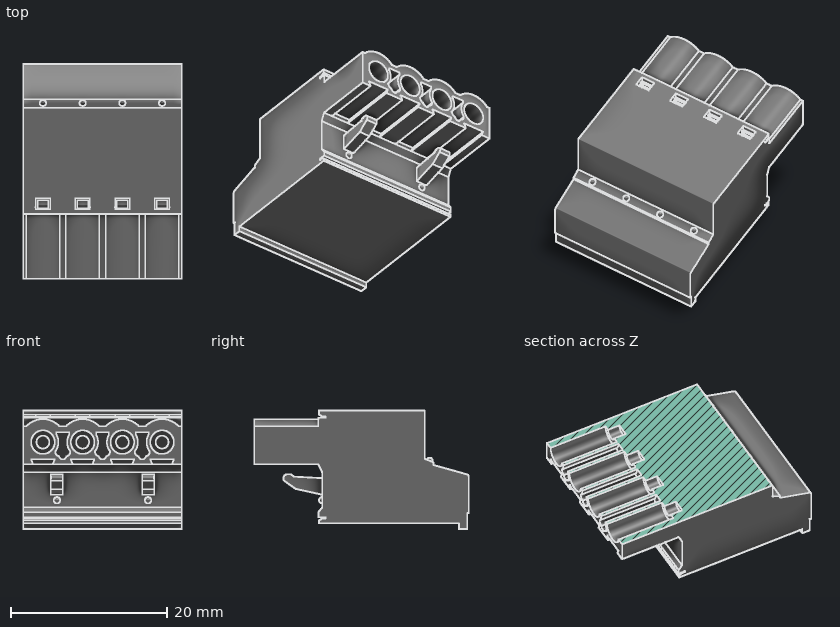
import cadquery as cq
import math

WIDTH = 20.32
LENGTH = 27.5
HEIGHT = 15.2

POLES = 4
PITCH = WIDTH / POLES
pole_xs = [(i - (POLES - 1) / 2) * PITCH for i in range(POLES)]
key_xs = [(a + b) / 2 for a, b in zip(pole_xs, pole_xs[1:])]

FACE_Y = 8.22
LIP_Y = 8.3
RECESS_Y = 8.72
GROOVE_END_Y = 9.15
GROOVE_GAP = 0.15
GROOVE_TOP_FLOOR_Z = 14.27
GROOVE_LOW_ROOF_Z = 1.5
LIP_RISE = 0.25
LIP_THICKNESS = 0.55
BOTTOM_Z = 0.75
RECESS_TOP_Z = 7.25
RECESS_LOW_Z = 2.8
RAIL_TOP_Z = 2.17
REAR_WALL_Y = 21.85
STEP_TOP_Z = 9.02
STEP_Y = 23.0
STEP_UPPER_Z = 8.52
STEP_LOWER_Z = 8.22
REAR_TOP_Z = 6.95
FOOT_TOP_Z = 2.05
FOOT_REAR_Y = 27.28
FOOT_FRONT_Y = 26.2
TOP_EDGE_ROUND = 0.15
REAR_EDGE_ROUND = 0.38

SHROUD_BOTTOM_Z = 8.3
SHROUD_TOP_Z = 13.15
PLUG_AXIS_Z = 11.15
BARREL_RADIUS = 2.95
BORE_RADIUS = 1.5
BORE_DEPTH = 7.98
PIN_HOLE_RADIUS = 0.82
PIN_HOLE_DEPTH = 9.62

KEY_WALL_RADIUS = 1.98
KEY_TOP_HALF = 0.82
KEY_TOP_Z = 12.43
KEY_CORNER_ROUND = 0.1
KEY_LOBE_TOP_HALF = 0.95
KEY_LOBE_MID = (0.85, 9.57)
KEY_LOBE_END = (0.47, 9.32)
KEY_TIP_Z = 8.95

NOTCH_TOP_HALF = 1.5
NOTCH_BOTTOM_HALF = 1.26
NOTCH_TOP_Z = 8.95

SOCKET_WIDTH = 1.85
SOCKET_FRONT_Y = 8.9
SOCKET_REAR_Y = 10.3
SOCKET_DEPTH = 1.02
WELL_WIDTH = 1.38
WELL_FRONT_Y = 9.02
WELL_FLAT_END_Y = 9.4
WELL_BEND_Y = 9.65
WELL_REAR_Y = 10.0
WELL_FLOOR_Z = 13.7
WELL_SLOPE = 14.0
WELL_STEEP_SLOPE = 30.0

HOOK_X = 5.83
HOOK_WIDTH = 1.55
HOOK_ROOT_TOP_Z = 6.55
HOOK_ROOT_BOTTOM_Z = 4.4
HOOK_NECK = (5.12, 6.75)
HOOK_CREST_REAR_Y = 4.73
HOOK_CREST_FRONT_Y = 4.3
HOOK_CREST_Z = 7.05
HOOK_NOSE = (3.82, 6.8)
HOOK_CHIN = (3.85, 6.2)
HOOK_HEEL = (5.34, 5.15)
DOME_RADIUS = 0.4
FRONT_DOME_Z = 3.7
REAR_DOME_Y = 22.47
REAR_DOME_Z = 8.75


def across(outline, width, x=0.0):
    """Prism of a (Y, Z) outline, centred on x."""
    return outline.close().extrude(width / 2, both=True).translate((x, 0, 0))


def side_outline(points):
    return cq.Workplane("YZ").polyline(points)


def along(outline, depth):
    """Prism of an (X, Z) outline, running back from the mating face."""
    return outline.close().extrude(-depth)


def cylinder_along(x, radius, depth):
    return cq.Workplane("XZ").center(x, PLUG_AXIS_Z).circle(radius).extrude(-depth)


def make_housing():
    top_flank_z = GROOVE_TOP_FLOOR_Z + GROOVE_GAP
    low_flank_z = GROOVE_LOW_ROOF_Z - GROOVE_GAP
    points = [
        (REAR_WALL_Y, HEIGHT),
        (LIP_Y, HEIGHT),
        (LIP_Y, HEIGHT - LIP_THICKNESS),
        (RECESS_Y, top_flank_z),
        (GROOVE_END_Y, top_flank_z),
        (GROOVE_END_Y, GROOVE_TOP_FLOOR_Z),
        (FACE_Y, GROOVE_TOP_FLOOR_Z),
        (FACE_Y, SHROUD_BOTTOM_Z),
        (RECESS_Y, RECESS_TOP_Z),
        (RECESS_Y, RECESS_LOW_Z),
        (FACE_Y, RAIL_TOP_Z),
        (FACE_Y, GROOVE_LOW_ROOF_Z),
        (GROOVE_END_Y, GROOVE_LOW_ROOF_Z),
        (GROOVE_END_Y, low_flank_z),
        (RECESS_Y, low_flank_z),
        (LIP_Y, low_flank_z - LIP_RISE),
        (LIP_Y, BOTTOM_Z),
        (FOOT_FRONT_Y, BOTTOM_Z),
        (FOOT_FRONT_Y, 0),
        (FOOT_REAR_Y, 0),
        (FOOT_REAR_Y, FOOT_TOP_Z),
        (LENGTH, FOOT_TOP_Z),
        (LENGTH, REAR_TOP_Z),
        (STEP_Y, STEP_LOWER_Z),
        (STEP_Y, STEP_UPPER_Z),
        (REAR_WALL_Y, STEP_TOP_Z),
    ]
    housing = across(side_outline(points), WIDTH)
    top_edge = cq.selectors.NearestToPointSelector((0, REAR_WALL_Y, HEIGHT))
    rear_edge = cq.selectors.NearestToPointSelector((0, LENGTH, REAR_TOP_Z))
    housing = housing.edges(top_edge).fillet(TOP_EDGE_ROUND)
    return housing.edges(rear_edge).fillet(REAR_EDGE_ROUND)


def make_shroud():
    block_height = SHROUD_TOP_Z - SHROUD_BOTTOM_Z
    shroud = cq.Workplane("XY").box(
        WIDTH, RECESS_Y, block_height, centered=(True, False, False)
    ).translate((0, 0, SHROUD_BOTTOM_Z))
    upper_half = cq.Workplane("XY").box(
        WIDTH, LENGTH, HEIGHT, centered=(True, False, False)
    ).translate((0, 0, PLUG_AXIS_Z))
    for x in pole_xs:
        barrel = cylinder_along(x, BARREL_RADIUS, RECESS_Y).intersect(upper_half)
        shroud = shroud.union(barrel)
    return shroud


def key_wall_point(half_width, upward):
    """Point (offset from the slot centre, Z) on the arc around the bore to the right."""
    dx = PITCH / 2 - half_width
    dz = math.sqrt(KEY_WALL_RADIUS**2 - dx**2)
    return half_width, PLUG_AXIS_Z + upward * dz


def mirrored(point):
    offset, z = point
    return -offset, z


def key_slot(x):
    """Waisted slot that widens into two side lobes above a rounded tip."""
    top = key_wall_point(KEY_TOP_HALF, 1)
    lobe_top = key_wall_point(KEY_LOBE_TOP_HALF, -1)
    neck = (PITCH / 2 - KEY_WALL_RADIUS, PLUG_AXIS_Z)
    outline = (
        cq.Workplane("XZ")
        .moveTo(-KEY_TOP_HALF, KEY_TOP_Z)
        .lineTo(KEY_TOP_HALF, KEY_TOP_Z)
        .lineTo(*top)
        .threePointArc(neck, lobe_top)
        .threePointArc(KEY_LOBE_MID, KEY_LOBE_END)
        .threePointArc((0, KEY_TIP_Z), mirrored(KEY_LOBE_END))
        .threePointArc(mirrored(KEY_LOBE_MID), mirrored(lobe_top))
        .threePointArc(mirrored(neck), mirrored(top))
    )
    slot = along(outline, BORE_DEPTH).edges("|Y").edges(">Z").fillet(KEY_CORNER_ROUND)
    return slot.translate((x, 0, 0))


def dovetail_notch(x):
    outline = cq.Workplane("XZ").polyline([
        (x - NOTCH_TOP_HALF, NOTCH_TOP_Z),
        (x + NOTCH_TOP_HALF, NOTCH_TOP_Z),
        (x + NOTCH_BOTTOM_HALF, SHROUD_BOTTOM_Z),
        (x - NOTCH_BOTTOM_HALF, SHROUD_BOTTOM_Z),
    ])
    return along(outline, FACE_Y)


def test_socket(x):
    """Shallow pocket with a narrower well whose floor falls away to the rear."""
    ledge_z = HEIGHT - SOCKET_DEPTH
    pocket = cq.Workplane("XY").box(
        SOCKET_WIDTH, SOCKET_REAR_Y - SOCKET_FRONT_Y, SOCKET_DEPTH, centered=(True, False, False)
    ).translate((x, SOCKET_FRONT_Y, ledge_z))
    bend_drop = (WELL_BEND_Y - WELL_FLAT_END_Y) * math.tan(math.radians(WELL_SLOPE))
    rear_drop = (WELL_REAR_Y - WELL_BEND_Y) * math.tan(math.radians(WELL_STEEP_SLOPE))
    well = side_outline([
        (WELL_FRONT_Y, HEIGHT),
        (WELL_FRONT_Y, WELL_FLOOR_Z),
        (WELL_FLAT_END_Y, WELL_FLOOR_Z),
        (WELL_BEND_Y, WELL_FLOOR_Z - bend_drop),
        (WELL_REAR_Y, WELL_FLOOR_Z - bend_drop - rear_drop),
        (WELL_REAR_Y, HEIGHT),
    ])
    return pocket.union(across(well, WELL_WIDTH, x))


def latch_hook(x):
    outline = (
        cq.Workplane("YZ")
        .moveTo(GROOVE_END_Y, HOOK_ROOT_TOP_Z)
        .lineTo(RECESS_Y, HOOK_ROOT_TOP_Z)
        .lineTo(*HOOK_NECK)
        .lineTo(HOOK_CREST_REAR_Y, HOOK_CREST_Z)
        .lineTo(HOOK_CREST_FRONT_Y, HOOK_CREST_Z)
        .threePointArc(HOOK_NOSE, HOOK_CHIN)
        .lineTo(*HOOK_HEEL)
        .lineTo(RECESS_Y, HOOK_ROOT_BOTTOM_Z)
        .lineTo(GROOVE_END_Y, HOOK_ROOT_BOTTOM_Z)
    )
    return across(outline, HOOK_WIDTH, x)


def dome(x, y, z):
    return cq.Workplane("XY").sphere(DOME_RADIUS).translate((x, y, z))


result = make_housing().union(make_shroud())

for pole_x in pole_xs:
    result = result.cut(cylinder_along(pole_x, BORE_RADIUS, BORE_DEPTH))
    result = result.cut(cylinder_along(pole_x, PIN_HOLE_RADIUS, PIN_HOLE_DEPTH))
    result = result.cut(dovetail_notch(pole_x))
    result = result.cut(test_socket(pole_x))
    result = result.union(dome(pole_x, REAR_DOME_Y, REAR_DOME_Z))

for key_x in key_xs:
    result = result.cut(key_slot(key_x))

for hook_x in (-HOOK_X, HOOK_X):
    result = result.union(latch_hook(hook_x))
    result = result.union(dome(hook_x, RECESS_Y, FRONT_DOME_Z))